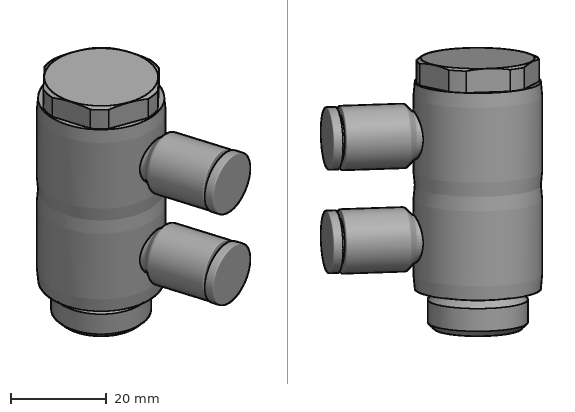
import cadquery as cq
import math

body_radius = 13.5
body_end_radius = 13.2
module_height = 22.0
taper_height = 3.05
module_count = 2

stud_height = 8.45
stud_radius = 10.5
stud_chamfer = 1.3
stud_shoulder_z = 6.15
neck_radius = 9.1
neck_bottom_z = stud_shoulder_z + stud_radius - neck_radius
neck_flare = 0.3

total_height = 57.5
hex_sides = 6
hex_across_flats = 24.0
hex_corner_radius = 12.9
head_base_z = stud_height + module_count * module_height
head_top_radius = 11.9
head_chamfer_height = 0.4

outlet_root_radius = 5.0
outlet_barrel_radius = 6.8
outlet_cone_angle = 45
outlet_cone_end_x = 15.5
outlet_cone_start_x = (
    outlet_cone_end_x
    - (outlet_barrel_radius - outlet_root_radius) / math.tan(math.radians(outlet_cone_angle))
)
outlet_root_fillet = 0.85
outlet_barrel_fillet = 0.7
outlet_barrel_end_x = 29.2
outlet_end_fillet = 0.25
groove_radius = 4.85

ring_start_x = 30.1
ring_end_x = 32.1
ring_half_width = 7.6
ring_half_height = 6.55
ring_fillet = 0.25


def revolve_about_z(points):
    return cq.Workplane("XZ").polyline(points).close().revolve(360, (0, 0, 0), (0, 1, 0))


def make_stud():
    return (
        cq.Workplane("XZ")
        .moveTo(0, 0)
        .lineTo(stud_radius - stud_chamfer, 0)
        .lineTo(stud_radius, stud_chamfer)
        .lineTo(stud_radius, stud_shoulder_z)
        .lineTo(neck_radius, neck_bottom_z)
        .lineTo(neck_radius, stud_height - neck_flare)
        .radiusArc((neck_radius + neck_flare, stud_height), neck_flare)
        .lineTo(0, stud_height)
        .close()
        .revolve(360, (0, 0, 0), (0, 1, 0))
    )


def make_module(base_z):
    top_z = base_z + module_height
    return revolve_about_z([
        (0, base_z),
        (body_end_radius, base_z),
        (body_radius, base_z + taper_height),
        (body_radius, top_z - taper_height),
        (body_end_radius, top_z),
        (0, top_z),
    ])


def make_head():
    hexagon = (
        cq.Workplane("XY", origin=(0, 0, head_base_z))
        .polygon(hex_sides, hex_across_flats / math.cos(math.pi / hex_sides))
        .extrude(total_height - head_base_z)
    )
    turned_blank = revolve_about_z([
        (0, head_base_z),
        (hex_corner_radius, head_base_z),
        (hex_corner_radius, total_height - head_chamfer_height),
        (head_top_radius, total_height),
        (0, total_height),
    ])
    return hexagon.intersect(turned_blank)


def disc_along_x(radius, start_x, end_x):
    return cq.Workplane("YZ", origin=(start_x, 0, 0)).circle(radius).extrude(end_x - start_x)


def barrel_edge_at(x):
    reach = 0.005
    size = 2 * outlet_barrel_radius
    return cq.selectors.BoxSelector((x - reach, -size, -size), (x + reach, size, size))


def make_outlet(axis_z):
    barrel = (
        cq.Workplane("XY")
        .polyline([
            (0, 0),
            (0, outlet_root_radius),
            (outlet_cone_start_x, outlet_root_radius),
            (outlet_cone_end_x, outlet_barrel_radius),
            (outlet_barrel_end_x, outlet_barrel_radius),
            (outlet_barrel_end_x, 0),
        ])
        .close()
        .revolve(360, (0, 0, 0), (1, 0, 0))
    )
    barrel = barrel.edges(barrel_edge_at(outlet_cone_start_x)).fillet(outlet_root_fillet)
    barrel = barrel.edges(barrel_edge_at(outlet_cone_end_x)).fillet(outlet_barrel_fillet)
    barrel = barrel.faces(">X").edges().fillet(outlet_end_fillet)
    groove = disc_along_x(groove_radius, outlet_barrel_end_x, ring_start_x)
    ring = (
        cq.Workplane("YZ", origin=(ring_start_x, 0, 0))
        .ellipse(ring_half_width, ring_half_height)
        .extrude(ring_end_x - ring_start_x)
        .faces(">X")
        .edges()
        .fillet(ring_fillet)
    )
    return barrel.union(groove).union(ring).translate((0, 0, axis_z))


result = make_stud().union(make_head())
for index in range(module_count):
    base_z = stud_height + index * module_height
    result = result.union(make_module(base_z)).union(make_outlet(base_z + module_height / 2))